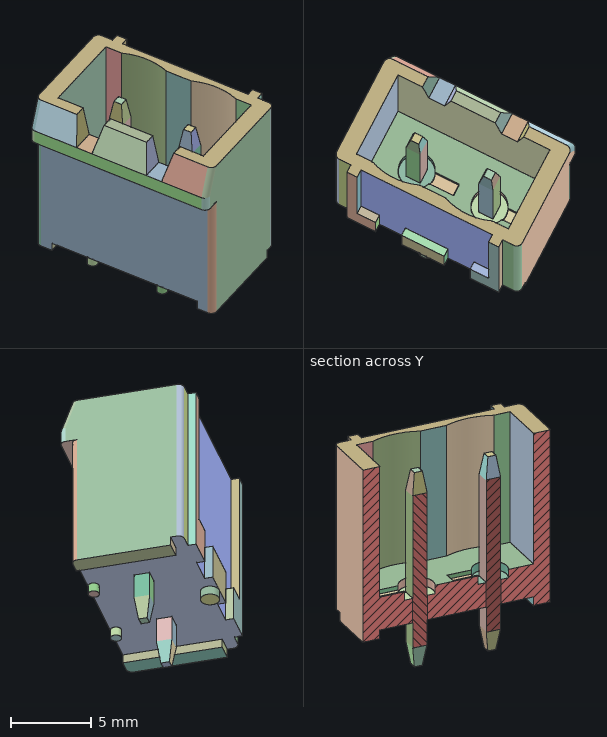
import cadquery as cq


pin_pitch = 5.08
pin_width = 1.01
pin_tip_width = 0.55
pin_taper_length = 1.5
pin_bottom_z = -2.6
pin_top_z = 10.92
pin_xs = [-pin_pitch / 2, pin_pitch / 2]

housing_width = 12.96
housing_height = 12.0
front_y = -3.6
back_y = 3.62
corner_radius = 0.4
foot_height = 0.6

lip_overhang = 0.75
bevel_height = 1.99
lip_height = 0.98
lip_y = front_y - lip_overhang
bevel_bottom_z = housing_height - bevel_height
lip_bottom_z = bevel_bottom_z - lip_height

cavity_width = 10.6
cavity_front_y = -2.86
cavity_back_y = 2.83
cavity_floor_z = 2.92
scallop_width = 3.27
scallop_rise = 0.32

well_diameter = 2.3
well_depth = 0.58
groove_width = 0.82
groove_length = (cavity_width - pin_pitch) / 2
groove_depth = 0.29

notch_top_width = 1.99
notch_bottom_width = 1.11
notch_offset = 0.06

rail_depth = 0.53
rail_width = 0.72
rail_foot_width = 2.0
center_tab_width = 2.98
tab_top_z = cavity_floor_z
rail_back_y = back_y + rail_depth

small_peg_diameter = 0.7
large_peg_diameter = 1.2


def box(x_min, x_max, y_min, y_max, z_min, z_max):
    """Box given by its limits along each axis."""
    size = (x_max - x_min, y_max - y_min, z_max - z_min)
    return cq.Workplane("XY").box(*size, centered=False).translate((x_min, y_min, z_min))


def centered_box(width, y_min, y_max, z_min, z_max):
    """Box that is symmetric about X = 0."""
    return box(-width / 2, width / 2, y_min, y_max, z_min, z_max)


def shell_outline(front):
    """Rounded outline of the housing with its front edge at Y = front."""
    outline = cq.Sketch().rect(housing_width, back_y - front).vertices().fillet(corner_radius)
    return outline.moved(cq.Location(cq.Vector(0, (back_y + front) / 2, 0)))


def shell_slab(front, z_min, z_max):
    """Straight slab of the housing outline."""
    return cq.Workplane("XY", origin=(0, 0, z_min)).placeSketch(shell_outline(front)).extrude(z_max - z_min)


def make_shell():
    """Solid outside shape: body, lip band and the bevel above the lip."""
    body = shell_slab(front_y, 0, lip_bottom_z)
    lip = shell_slab(lip_y, lip_bottom_z, bevel_bottom_z)
    bevel_sections = (
        shell_outline(lip_y),
        shell_outline(front_y).moved(cq.Location(cq.Vector(0, 0, bevel_height))),
    )
    bevel = cq.Workplane("XY", origin=(0, 0, bevel_bottom_z)).placeSketch(*bevel_sections).loft(ruled=True)
    return body.union(lip).union(bevel)


def make_cavity():
    """Plug cavity whose back wall has one shallow scallop behind each pin."""
    half_width = cavity_width / 2
    outline = cq.Workplane("XY", origin=(0, 0, cavity_floor_z))
    outline = outline.moveTo(half_width, cavity_front_y).lineTo(-half_width, cavity_front_y)
    outline = outline.lineTo(-half_width, cavity_back_y)
    for x in pin_xs:
        outline = outline.lineTo(x - scallop_width / 2, cavity_back_y)
        crest = (x, cavity_back_y + scallop_rise)
        outline = outline.threePointArc(crest, (x + scallop_width / 2, cavity_back_y))
    outline = outline.lineTo(half_width, cavity_back_y).close()
    return outline.extrude(housing_height - cavity_floor_z)


def make_floor_recess(x):
    """Round well around a pin, with a shallower groove leading to it from -X."""
    well = cq.Workplane("XY", origin=(x, 0, cavity_floor_z)).circle(well_diameter / 2).extrude(-well_depth)
    groove = box(
        x - groove_length, x, -groove_width / 2, groove_width / 2, cavity_floor_z - groove_depth, cavity_floor_z
    )
    return well.union(groove)


def make_notch(pin_x):
    """Tapered notch through the front wall, as deep as the bevel."""
    x = pin_x + notch_offset
    outline = [
        (x - notch_bottom_width / 2, bevel_bottom_z),
        (x + notch_bottom_width / 2, bevel_bottom_z),
        (x + notch_top_width / 2, housing_height),
        (x - notch_top_width / 2, housing_height),
    ]
    notch = cq.Workplane("XZ", origin=(0, cavity_front_y, 0)).polyline(outline).close()
    return notch.extrude(cavity_front_y - lip_y)


def make_underside_clearance():
    """Space under the floor that leaves a foot along each side, open at the back."""
    middle = centered_box(cavity_width, front_y, back_y, 0, foot_height)
    rear = centered_box(housing_width, cavity_back_y, back_y, 0, foot_height)
    return middle.union(rear)


def make_back_rails():
    """Full-height corner rails with wider feet, and a low tab in the middle."""
    rails = centered_box(center_tab_width, back_y, rail_back_y, foot_height, tab_top_z)
    edge = -cavity_width / 2
    rail = box(edge, edge + rail_width, back_y, rail_back_y, foot_height, housing_height)
    foot = box(edge, edge + rail_foot_width, back_y, rail_back_y, foot_height, tab_top_z)
    corner = rail.union(foot)
    return rails.union(corner).union(corner.mirror("YZ"))


def make_peg(x, y, diameter):
    """Round standoff from the seating plane to the floor."""
    return cq.Workplane("XY").center(x, y).circle(diameter / 2).extrude(foot_height)


def make_pin(x):
    """Square contact pin, tapered at both ends."""
    shank_bottom_z = pin_bottom_z + pin_taper_length
    shank_top_z = pin_top_z - pin_taper_length
    shank = cq.Workplane("XY", origin=(x, 0, shank_bottom_z)).rect(pin_width, pin_width)
    pin = shank.extrude(shank_top_z - shank_bottom_z)
    for shoulder_z, tip_offset in ((shank_top_z, pin_taper_length), (shank_bottom_z, -pin_taper_length)):
        tip = cq.Workplane("XY", origin=(x, 0, shoulder_z)).rect(pin_width, pin_width)
        tip = tip.workplane(offset=tip_offset).rect(pin_tip_width, pin_tip_width).loft(ruled=True)
        pin = pin.union(tip)
    return pin


def make_housing():
    """Housing with its cavity, notches, rails, pegs and a matching hole for each pin."""
    body = make_shell().cut(make_cavity()).cut(make_underside_clearance())
    body = body.union(make_back_rails())
    body = body.union(make_peg(0, rail_back_y - large_peg_diameter / 2, large_peg_diameter))
    for x in pin_xs:
        body = body.union(make_peg(x, front_y + small_peg_diameter / 2, small_peg_diameter))
        body = body.cut(make_notch(x)).cut(make_floor_recess(x)).cut(make_pin(x))
    return body


housing = make_housing()
pins = [make_pin(x) for x in pin_xs]

result = cq.Compound.makeCompound([housing.val(), *[pin.val() for pin in pins]])